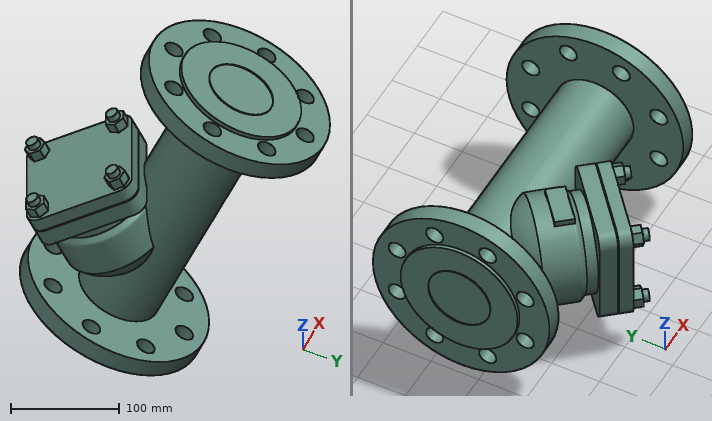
import cadquery as cq
import math


overall_length = 290.0
pipe_radius = 40.5
flange_diameter = 185.0
flange_thickness = 18.3
raised_face_diameter = 122.5
raised_face_height = 4.0
bolt_circle_diameter = 145.0
bolt_hole_diameter = 18.0
bolt_hole_count = 8
port_diameter = 65.0
port_recess = 1.02

branch_start_x = -84.7
branch_lean = math.radians(40)

body_radius = 54.0
dome_radius = 61.0
body_start = 39.5
shoulder_start = 74.8
shoulder_edge_radius = 4.0
shoulder_angle = math.radians(45)
neck_radius = 48.7
nameplate_length = 42.5
nameplate_width = 19.5
nameplate_start = 56.8
nameplate_height = 55.7

stud_spacing = 81.2
joint_corner_radius = 13.0
joint_size = stud_spacing + 2 * joint_corner_radius
joint_start = 92.5
body_plate_thickness = 17.5
gasket_thickness = 1.2
gasket_radius = 39.0
cover_thickness = 13.5
nut_sides = 6
nut_across_flats = 18.0
nut_height = 10.5
stud_diameter = 12.0
stud_projection = 6.5

gasket_start = joint_start + body_plate_thickness
cover_start = gasket_start + gasket_thickness
cover_end = cover_start + cover_thickness
nut_end = cover_end + nut_height


def disc(radius, start, end, plane="XY"):
    """Cylinder along the normal of the plane, from start to end."""
    return cq.Workplane(plane).workplane(offset=start).circle(radius).extrude(end - start)


def make_flanged_end(flange_face):
    """Drilled flange with a raised face for the +X end of the pipe."""
    flange_back = flange_face - flange_thickness
    flange = disc(flange_diameter / 2, flange_back, flange_face, "YZ")
    bolt_holes = (
        cq.Workplane("YZ")
        .workplane(offset=flange_back)
        .polarArray(bolt_circle_diameter / 2, 180 / bolt_hole_count, 360, bolt_hole_count)
        .circle(bolt_hole_diameter / 2)
        .extrude(flange_thickness)
    )
    raised_face = disc(raised_face_diameter / 2, flange_face, flange_face + raised_face_height, "YZ")
    return flange.cut(bolt_holes).union(raised_face)


def make_pipe():
    """Solid pipe along X, centred on the origin, with a flange and a shallow port recess at each end."""
    half_length = overall_length / 2
    pipe = disc(pipe_radius, -half_length, half_length, "YZ")
    flanged_end = make_flanged_end(half_length - raised_face_height)
    port = disc(port_diameter / 2, half_length - port_recess, half_length, "YZ")
    pipe = pipe.union(flanged_end).union(flanged_end.mirror("YZ"))
    return pipe.cut(port).cut(port.mirror("YZ"))


def make_body():
    """Domed body with a rounded edge leading into a conical shoulder and the neck."""
    dome_centre = body_start + math.sqrt(dome_radius**2 - body_radius**2)
    dome_tip = dome_centre - dome_radius
    dome_mid_angle = math.asin(body_radius / dome_radius) / 2
    dome_mid = (
        dome_radius * math.sin(dome_mid_angle),
        dome_centre - dome_radius * math.cos(dome_mid_angle),
    )
    cone_radius = body_radius - shoulder_edge_radius * (1 - math.cos(shoulder_angle))
    cone_start = shoulder_start + shoulder_edge_radius * math.sin(shoulder_angle)
    cone_end = cone_start + (cone_radius - neck_radius) / math.tan(shoulder_angle)
    profile = (
        cq.Workplane("XZ")
        .moveTo(0, dome_tip)
        .threePointArc(dome_mid, (body_radius, body_start))
        .lineTo(body_radius, shoulder_start)
        .radiusArc((cone_radius, cone_start), -shoulder_edge_radius)
        .lineTo(neck_radius, cone_end)
        .lineTo(neck_radius, joint_start)
        .lineTo(0, joint_start)
        .close()
    )
    return profile.revolve(360, (0, 0, 0), (0, 1, 0))


def make_nameplate():
    """Flat-topped pad on the +Z side of the body."""
    return (
        cq.Workplane("XY", origin=(0, 0, nameplate_start))
        .rect(nameplate_length, nameplate_height, centered=(True, False))
        .extrude(nameplate_width)
    )


def make_joint_plate(start, thickness):
    """Square plate whose corners are rounded about the stud centres."""
    plate = cq.Workplane("XY", origin=(0, 0, start)).rect(joint_size, joint_size).extrude(thickness)
    return plate.edges("|Z").fillet(joint_corner_radius)


def make_stud_and_nut(x_sign, y_sign):
    """Hex nut with a projecting stud; neighbouring nuts differ by a half-flat turn."""
    half_flat_angle = 180 / nut_sides
    turn = half_flat_angle if x_sign == y_sign else 0
    across_corners = nut_across_flats / math.cos(math.radians(half_flat_angle))
    nut = (
        cq.Workplane("XY", origin=(0, 0, cover_end))
        .transformed(rotate=(0, 0, turn))
        .polygon(nut_sides, across_corners)
        .extrude(nut_height)
    )
    stud = disc(stud_diameter / 2, cover_end, nut_end + stud_projection)
    return nut.union(stud).translate((x_sign * stud_spacing / 2, y_sign * stud_spacing / 2, 0))


def make_branch():
    """Branch in its own frame: local Z along the branch axis, local Y upward."""
    branch = make_body().union(make_nameplate())
    branch = branch.union(make_joint_plate(joint_start, body_plate_thickness))
    branch = branch.union(disc(gasket_radius, gasket_start, cover_start))
    branch = branch.union(make_joint_plate(cover_start, cover_thickness))
    for x_sign in (-1, 1):
        for y_sign in (-1, 1):
            branch = branch.union(make_stud_and_nut(x_sign, y_sign))
    return branch


branch_frame = cq.Plane(
    origin=(branch_start_x, 0, 0),
    xDir=(math.cos(branch_lean), math.sin(branch_lean), 0),
    normal=(math.sin(branch_lean), -math.cos(branch_lean), 0),
)
placed_branch = make_branch().val().moved(cq.Location(branch_frame))
result = make_pipe().union(cq.Workplane(placed_branch))